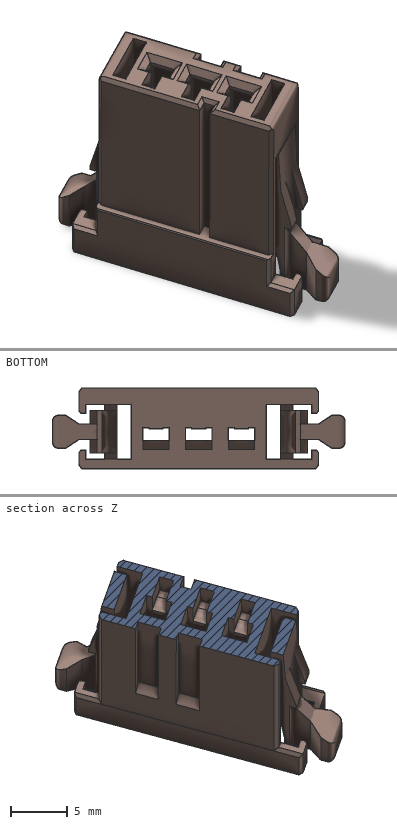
import cadquery as cq

length = 26.07
height = 22.8
back_y = 3.3
front_y = -3.9

body_half = 8.4
body_front_y = -3.3
body_draft = 0.1
body_chamfer = 0.35
body_end_round = 0.52

foot_half = 10.65
foot_height = 3.25
plate_height = 6.45
plate_top_chamfer = 0.1
edge_chamfer_x = 0.25
edge_chamfer_y = 0.35
clamp_lip = 0.63
clamp_gap_half = 1.65
lip_chamfer = 0.18

window_half_y = 2.42
window_inner_x = 6.02
window_top = 18.3

tongue_half_y = 1.9
tongue_inner_x = 7.27
tongue_top_x = 8.45
tongue_outer_x = 9.05
tongue_foot_inner_x = 8.6
tongue_taper_z = 12.51
arm_root_z = 7.2
ridge_start_x = 8.68
ridge_start_z = 13.65
ridge_tip_x = 9.7
ridge_tip_z = 9.4
ridge_base_z = 9.05
arm_half_y = 0.7
arm_end_z = 5.27
knob_base_z = 0.4
knob_flare_x = 11.85
knob_half_y = 1.49
knob_tip_z = 3.45
knob_round = 0.6

terminal_pitch = 3.8
cavity_width = 2.32
cavity_front_y = -0.35
cavity_back_y = 0.75
cavity_lead_in = 0.55
cavity_lip = 0.36
chamber_back_y = 1.56
lance_width = 1.25
lance_slot_front_y = -2.53
lance_nose_y = -0.25
lance_crest_z = 15.65
lance_nose_drop = 0.08
lance_heel_drop = 0.23
lance_heel_fall = 0.03
lance_step_y = -0.78
lance_crest_back_y = -1.23
lance_crest_front_y = -1.67
lance_slope_end_y = -2.2
lance_heel_y = -2.37

front_key_x = 1.9
front_key_width = 1.0
front_key_floor_y = -2.2
back_key_floor_y = 2.5
back_keys = ((0.0, 2.16), (3.8, 2.1))


def block(x0, x1, y0, y1, z0, z1):
    """Box between two opposite corners."""
    return cq.Workplane("XY").box(x1 - x0, y1 - y0, z1 - z0, centered=False).translate((x0, y0, z0))


def side_prism(points, half_y):
    """Prism from an X-Z outline, centred on Y = 0."""
    return cq.Workplane("XZ").polyline(points).close().extrude(half_y, both=True)


def cross_prism(points, center_x, width):
    """Prism from a Y-Z outline, centred on a given x."""
    start = center_x - width / 2
    return cq.Workplane("YZ").workplane(offset=start).polyline(points).close().extrude(width)


def octagon(half_x, y0, y1, cut_x, cut_y):
    """Corner points of a rectangle with its four corners cut off."""
    return [
        (-half_x + cut_x, y0), (half_x - cut_x, y0), (half_x, y0 + cut_y), (half_x, y1 - cut_y),
        (half_x - cut_x, y1), (-half_x + cut_x, y1), (-half_x, y1 - cut_y), (-half_x, y0 + cut_y),
    ]


def make_body():
    """Drafted block with chamfered long top edges and rounded short ones."""
    top_front = body_front_y + body_draft
    top_back = back_y - body_draft
    drafted = (
        cq.Workplane("XY")
        .polyline(octagon(body_half, body_front_y, back_y, body_chamfer, body_chamfer)).close()
        .workplane(offset=height)
        .polyline(octagon(body_half, top_front, top_back, body_chamfer, body_chamfer)).close()
        .loft(ruled=True)
    )
    round_ends = (
        block(-body_half, body_half, front_y, back_y, 0, height)
        .edges("|Y and >Z").fillet(body_end_round)
    )
    shoulder = height - body_chamfer
    long_section = [
        (front_y, 0), (back_y, 0), (back_y, shoulder), (top_back, shoulder),
        (top_back - body_chamfer, height), (top_front + body_chamfer, height),
        (top_front, shoulder), (front_y, shoulder),
    ]
    return drafted.intersect(round_ends).intersect(cross_prism(long_section, 0, 2 * body_half))


def make_foot():
    """Wide foot with bevelled corners and bevelled long top edges."""
    outline = octagon(foot_half, front_y, back_y, edge_chamfer_x, edge_chamfer_y)
    foot = cq.Workplane("XY").polyline(outline).close().extrude(foot_height)
    section = [
        (front_y, 0), (back_y, 0), (back_y, foot_height - edge_chamfer_x),
        (back_y - edge_chamfer_y, foot_height), (front_y + edge_chamfer_y, foot_height),
        (front_y, foot_height - edge_chamfer_x),
    ]
    return foot.intersect(cross_prism(section, 0, 2 * foot_half))


def make_front_plate():
    """Front plate standing on the foot against the housing."""
    outline = [
        (-body_half, -window_half_y), (-body_half, front_y + edge_chamfer_y),
        (-body_half + edge_chamfer_x, front_y), (body_half - edge_chamfer_x, front_y),
        (body_half, front_y + edge_chamfer_y), (body_half, -window_half_y),
    ]
    plate = cq.Workplane("XY").polyline(outline).close().extrude(plate_height)
    return plate.faces("<Y").edges(">Z").chamfer(plate_top_chamfer)


def make_side_opening():
    """Space removed around the right-hand latch."""
    lip_inner_x = foot_half - clamp_lip
    window = block(window_inner_x, lip_inner_x, -window_half_y, window_half_y, 0, window_top)
    slot = block(window_inner_x, tongue_inner_x, -window_half_y, window_half_y, 0, height)
    mouth_half = clamp_gap_half + lip_chamfer
    mouth = (
        cq.Workplane("XY")
        .polyline([
            (lip_inner_x, -clamp_gap_half), (foot_half - lip_chamfer, -clamp_gap_half),
            (foot_half, -mouth_half), (foot_half, mouth_half),
            (foot_half - lip_chamfer, clamp_gap_half), (lip_inner_x, clamp_gap_half),
        ])
        .close().extrude(foot_height)
    )
    return window.union(slot).union(mouth)


def make_knob():
    """Flared finger knob with a sloping top and a rounded outer end."""
    tip_x = length / 2
    outline = [
        (foot_half, -arm_half_y), (knob_flare_x, -knob_half_y), (tip_x, -knob_half_y),
        (tip_x, knob_half_y), (knob_flare_x, knob_half_y), (foot_half, arm_half_y),
    ]
    knob = cq.Workplane("XY").workplane(offset=knob_base_z).polyline(outline).close().extrude(arm_end_z)
    profile = [(foot_half, knob_base_z), (tip_x, knob_base_z), (tip_x, knob_tip_z), (foot_half, arm_end_z)]
    knob = knob.intersect(side_prism(profile, knob_half_y))
    return knob.faces(">X").edges().fillet(knob_round)


def make_latch():
    """Right-hand latch: leaning tongue, two catch ridges with a channel between them, arm and knob."""
    tongue = side_prism(
        [
            (tongue_foot_inner_x, 0), (tongue_outer_x, 0), (tongue_outer_x, ridge_base_z),
            (ridge_start_x, ridge_start_z), (tongue_top_x, window_top), (tongue_inner_x, window_top),
            (tongue_inner_x, tongue_taper_z), (tongue_foot_inner_x, foot_height),
        ],
        tongue_half_y,
    )
    ridges = side_prism(
        [
            (tongue_foot_inner_x, ridge_start_z), (ridge_start_x, ridge_start_z),
            (ridge_tip_x, ridge_tip_z), (ridge_tip_x, ridge_base_z), (tongue_foot_inner_x, ridge_base_z),
        ],
        tongue_half_y,
    )
    channel = side_prism(
        [
            (ridge_start_x, ridge_start_z), (length / 2, ridge_start_z), (length / 2, arm_root_z),
            (tongue_outer_x, arm_root_z),
        ],
        arm_half_y,
    )
    arm = side_prism(
        [
            (tongue_foot_inner_x, knob_base_z), (foot_half, knob_base_z), (foot_half, arm_end_z),
            (tongue_outer_x, arm_root_z), (tongue_foot_inner_x, arm_root_z),
        ],
        arm_half_y,
    )
    return tongue.union(ridges).cut(channel).union(arm).union(make_knob())


def make_terminal_cavity(center_x):
    """Through cavity with a tapered mouth, a wider chamber and a slot above its lance."""
    depth = cavity_back_y - cavity_front_y
    center_y = (cavity_back_y + cavity_front_y) / 2
    passage = cq.Workplane("XY").center(center_x, center_y).rect(cavity_width, depth).extrude(height)
    mouth = (
        cq.Workplane("XY").workplane(offset=height - cavity_lead_in)
        .center(center_x, center_y).rect(cavity_width, depth)
        .workplane(offset=cavity_lead_in)
        .rect(cavity_width + 2 * cavity_lead_in, depth + 2 * cavity_lead_in)
        .loft(ruled=True)
    )
    chamber = block(
        center_x - cavity_width / 2, center_x + cavity_width / 2, cavity_front_y, chamber_back_y,
        0, height - cavity_lead_in - cavity_lip,
    )
    half = lance_width / 2
    slot = block(center_x - half, center_x + half, lance_slot_front_y, cavity_back_y, 0, height)
    return passage.union(mouth).union(chamber).union(slot)


def make_lance(center_x):
    """Locking lance filling the slot below its stepped, sloping top."""
    nose_z = lance_crest_z - lance_nose_drop
    heel_z = lance_crest_z - lance_heel_drop
    profile = [
        (lance_slot_front_y, 0), (lance_nose_y, 0), (lance_nose_y, nose_z), (lance_step_y, nose_z),
        (lance_crest_back_y, lance_crest_z), (lance_crest_front_y, lance_crest_z),
        (lance_slope_end_y, heel_z + lance_heel_fall), (lance_heel_y, heel_z),
        (lance_slot_front_y, heel_z),
    ]
    return cross_prism(profile, center_x, lance_width)


def make_key_mouth(center_x, width, floor_y, wall_y):
    """Bevel around the top of a keyway that is open towards wall_y."""
    outward = 1 if wall_y > floor_y else -1
    reach = abs(wall_y - floor_y)
    center_y = (wall_y + floor_y) / 2
    return (
        cq.Workplane("XY").workplane(offset=height - body_chamfer)
        .center(center_x, center_y).rect(width, reach)
        .workplane(offset=body_chamfer).center(0, -outward * body_chamfer / 2)
        .rect(width + 2 * body_chamfer, reach + body_chamfer)
        .loft(ruled=True)
    )


def make_front_key():
    """Front keyway, ending on top of the front plate."""
    half = front_key_width / 2
    groove = block(
        front_key_x - half, front_key_x + half, front_y, front_key_floor_y, plate_height, height
    )
    return groove.union(make_key_mouth(front_key_x, front_key_width, front_key_floor_y, front_y))


def make_back_key(center_x, width):
    """Back keyway, running out through a 45 degree ramp."""
    reach = back_y - back_key_floor_y
    section = [
        (back_key_floor_y, height), (back_key_floor_y, plate_height + reach),
        (back_y, plate_height), (back_y, height),
    ]
    groove = cross_prism(section, center_x, width)
    return groove.union(make_key_mouth(center_x, width, back_key_floor_y, back_y))


result = make_body().union(make_foot()).union(make_front_plate())

side_opening = make_side_opening()
result = result.cut(side_opening).cut(side_opening.mirror("YZ"))
latch = make_latch()
result = result.union(latch).union(latch.mirror("YZ"))

for center_x in (-terminal_pitch, 0, terminal_pitch):
    result = result.cut(make_terminal_cavity(center_x)).union(make_lance(center_x))

result = result.cut(make_front_key())
for center_x, width in back_keys:
    result = result.cut(make_back_key(center_x, width))